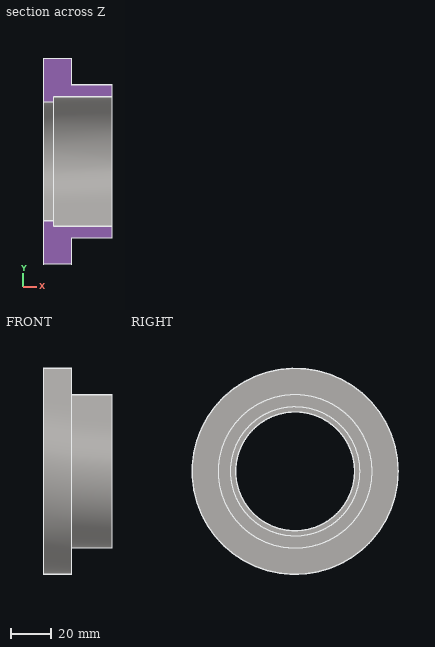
import cadquery as cq

flange_diameter = 102.0
total_length = 34.0
flange_thickness = 14.0
hub_diameter = 76.0

lip_diameter = 58.6
lip_length = 5.0
bore_diameter = 64.0


def cylinder(diameter, start, length):
    """Cylinder along +X whose near end lies at X = start."""
    return cq.Workplane("YZ", origin=(start, 0, 0)).circle(diameter / 2).extrude(length)


flange = cylinder(flange_diameter, 0, flange_thickness)
hub = cylinder(hub_diameter, 0, total_length)
lip_hole = cylinder(lip_diameter, 0, lip_length)
main_bore = cylinder(bore_diameter, lip_length, total_length - lip_length)

result = flange.union(hub).cut(lip_hole).cut(main_bore)